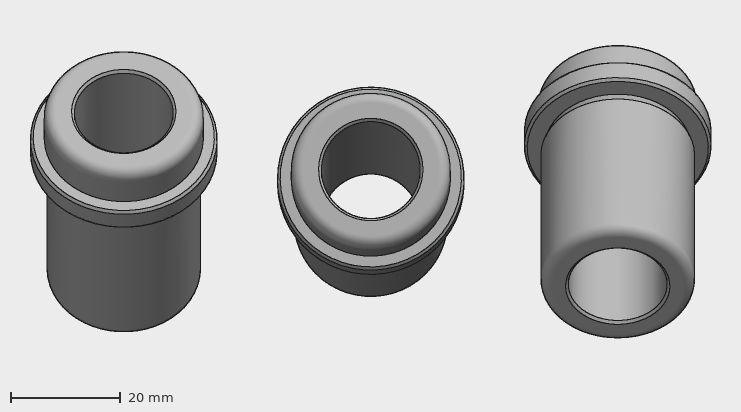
import cadquery as cq

total_height = 50.0
flange_top = 42.0
flange_bottom = 37.0
neck_height = 2.0

body_diameter = 28.0
neck_diameter = 26.7
flange_diameter = 34.0
head_diameter = 29.0
bore_diameter = 18.0

outer_rounding = 2.0
flange_chamfer = 0.5
bore_chamfer = 0.5

body_radius = body_diameter / 2
neck_radius = neck_diameter / 2
flange_radius = flange_diameter / 2
head_radius = head_diameter / 2
bore_radius = bore_diameter / 2
neck_bottom = flange_bottom - neck_height


def turned_blank():
    """Solid of revolution with a tapered neck below the flange."""
    profile = (
        cq.Workplane("XZ")
        .moveTo(0, 0)
        .lineTo(body_radius, 0)
        .lineTo(body_radius, neck_bottom)
        .lineTo(neck_radius, flange_bottom)
        .lineTo(flange_radius - flange_chamfer, flange_bottom)
        .lineTo(flange_radius, flange_bottom + flange_chamfer)
        .lineTo(flange_radius, flange_top - flange_chamfer)
        .lineTo(flange_radius - flange_chamfer, flange_top)
        .lineTo(head_radius, flange_top)
        .lineTo(head_radius, total_height)
        .lineTo(0, total_height)
        .close()
    )
    return profile.revolve(360, (0, 0, 0), (0, 1, 0))


bushing = turned_blank()
bushing = bushing.faces("<Z or >Z").edges().fillet(outer_rounding)

bushing = bushing.faces(">Z").workplane().hole(bore_diameter)
bore_rims = cq.selectors.RadiusNthSelector(0)
bushing = bushing.faces("<Z or >Z").edges(bore_rims).chamfer(bore_chamfer)

result = bushing